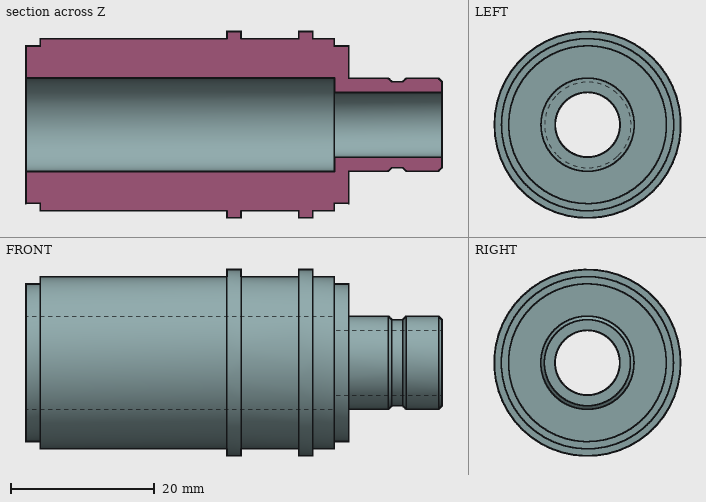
import cadquery as cq

total_length = 58.0
sleeve_length = 45.0
end_step_length = 2.0

sleeve_diameter = 24.0
end_step_diameter = 22.0
ring_diameter = 26.0
stem_diameter = 13.0
groove_diameter = 12.0
socket_diameter = 13.0
bore_diameter = 9.0

ring_width = 2.0
ring_starts = (28.0, 38.0)

stem_chamfer = 0.5
groove_start = 50.5
groove_width = 2.5

socket_depth = sleeve_length - end_step_length


def cylinder(diameter, start, length):
    """Solid cylinder on the X axis, from start toward +X."""
    return cq.Workplane("YZ", origin=(start, 0, 0)).circle(diameter / 2).extrude(length)


def make_sleeve():
    """Sleeve with a reduced step at each end and two raised rings."""
    sleeve = cylinder(end_step_diameter, 0, sleeve_length)
    main_length = sleeve_length - 2 * end_step_length
    sleeve = sleeve.union(cylinder(sleeve_diameter, end_step_length, main_length))
    for start in ring_starts:
        sleeve = sleeve.union(cylinder(ring_diameter, start, ring_width))
    return sleeve


def make_stem():
    """Stem with a 45 degree tip chamfer and a groove with 45 degree flanks."""
    radius = stem_diameter / 2
    groove_radius = groove_diameter / 2
    flank = radius - groove_radius
    groove_end = groove_start + groove_width
    profile = (
        cq.Workplane("XY")
        .moveTo(socket_depth, 0)
        .lineTo(socket_depth, radius)
        .lineTo(groove_start, radius)
        .lineTo(groove_start + flank, groove_radius)
        .lineTo(groove_end - flank, groove_radius)
        .lineTo(groove_end, radius)
        .lineTo(total_length - stem_chamfer, radius)
        .lineTo(total_length, radius - stem_chamfer)
        .lineTo(total_length, 0)
        .close()
    )
    return profile.revolve(360, (0, 0, 0), (1, 0, 0))


def make_cavity():
    """Wide socket from the open end, continued by a bore through the stem."""
    socket = cylinder(socket_diameter, 0, socket_depth)
    return socket.union(cylinder(bore_diameter, 0, total_length))


result = make_sleeve().union(make_stem()).cut(make_cavity())